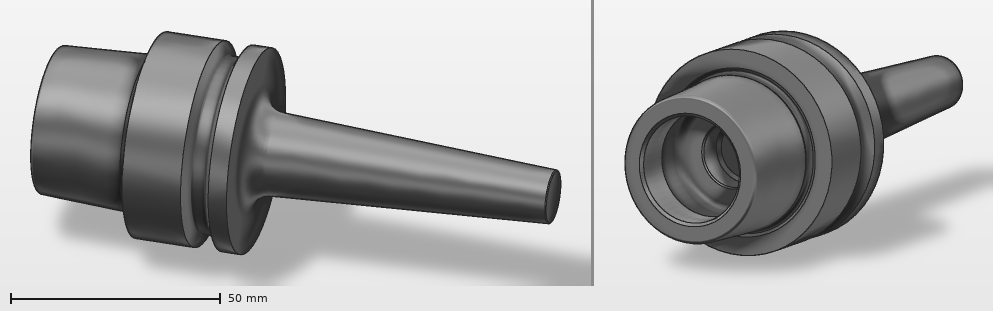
import cadquery as cq
import math

total_length = 124.9
shank_length = 25.0
flange_width = 26.0
flange_end = shank_length + flange_width

shank_radius = 19.1
shank_taper_end = 22.7
taper_rate = 1 / 20
shank_edge_fillet = 0.9

undercut_start = 23.5
undercut_radius = 18.9
undercut_fillet = 0.9
undercut_face_depth = 0.4
undercut_face_radius = 20.5

flange_radius = 25.0
groove_center = 43.0
groove_floor_width = 3.2
groove_top_width = 6.9
groove_floor_radius = 21.6
groove_fillet = 0.5

tip_radius = 6.5
nose_angle = math.radians(3)
nose_fillet = 5.5
tip_chamfer = 0.2

bore_radius = 13.0
bore_chamfer = 0.7
lip_length = 9.9
cavity_radius = 14.5
bore_depth = 21.1
floor_fillet = 2.6

hole_radius = 7.9
hole_chamfer = 0.4
hole_depth = 7.5
hole_floor_radius = 7.0


def shank_surface(x):
    """Radius of the tapered shank at station x."""
    return shank_radius - (shank_taper_end - x) * taper_rate


def nose_surface(x):
    """Radius of the tapered nose at station x."""
    return tip_radius + (total_length - x) * math.tan(nose_angle)


def arc_point(center, radius, angle):
    """Point on a circle in the profile plane."""
    return (center[0] + radius * math.cos(angle), center[1] + radius * math.sin(angle))


def groove_corner(side):
    """Wall end, middle and floor end of the groove floor round; side is -1 or 1 along X."""
    wall_run = (groove_top_width - groove_floor_width) / 2
    wall_slope = math.atan2(flange_radius - groove_floor_radius, wall_run)
    tangent_length = groove_fillet * math.tan(wall_slope / 2)
    center = (
        groove_center + side * (groove_floor_width / 2 - tangent_length),
        groove_floor_radius + groove_fillet,
    )
    floor_angle = -math.pi / 2
    return [
        arc_point(center, groove_fillet, floor_angle + side * turn)
        for turn in (wall_slope, wall_slope / 2, 0)
    ]


def outer_body():
    """Solid of revolution of the shank, flange and nose."""
    taper_normal = math.pi / 2 + math.atan(taper_rate)
    edge_center = (
        shank_edge_fillet,
        shank_surface(shank_edge_fillet) - shank_edge_fillet / math.sin(taper_normal),
    )
    edge_middle = arc_point(edge_center, shank_edge_fillet, (taper_normal + math.pi) / 2)
    edge_end = arc_point(edge_center, shank_edge_fillet, taper_normal)

    undercut_bottom = shank_length + undercut_face_depth
    undercut_center = (undercut_bottom - undercut_fillet, undercut_radius + undercut_fillet)
    undercut_middle = arc_point(undercut_center, undercut_fillet, -math.pi / 4)

    left_corner = groove_corner(-1)
    right_corner = groove_corner(1)

    nose_normal = math.pi / 2 - nose_angle
    nose_center_x = flange_end + nose_fillet
    nose_center = (nose_center_x, nose_surface(nose_center_x) + nose_fillet / math.sin(nose_normal))
    nose_start = math.pi
    nose_end = math.pi + nose_normal
    nose_middle = arc_point(nose_center, nose_fillet, (nose_start + nose_end) / 2)

    return (
        cq.Workplane("XY")
        .moveTo(0, 0)
        .lineTo(0, edge_center[1])
        .threePointArc(edge_middle, edge_end)
        .lineTo(shank_taper_end, shank_radius)
        .lineTo(undercut_start, undercut_radius)
        .lineTo(undercut_center[0], undercut_radius)
        .threePointArc(undercut_middle, (undercut_bottom, undercut_center[1]))
        .lineTo(shank_length, undercut_face_radius)
        .lineTo(shank_length, flange_radius)
        .lineTo(groove_center - groove_top_width / 2, flange_radius)
        .lineTo(*left_corner[0])
        .threePointArc(left_corner[1], left_corner[2])
        .lineTo(*right_corner[2])
        .threePointArc(right_corner[1], right_corner[0])
        .lineTo(groove_center + groove_top_width / 2, flange_radius)
        .lineTo(flange_end, flange_radius)
        .lineTo(flange_end, nose_center[1])
        .threePointArc(nose_middle, arc_point(nose_center, nose_fillet, nose_end))
        .lineTo(total_length - tip_chamfer, nose_surface(total_length - tip_chamfer))
        .lineTo(total_length, tip_radius - tip_chamfer)
        .lineTo(total_length, 0)
        .close()
        .revolve(360, (0, 0, 0), (1, 0, 0))
    )


def bore_cutter():
    """Stepped bore with an inner lip, a rounded floor and a central blind hole."""
    floor_center = (bore_depth - floor_fillet, cavity_radius - floor_fillet)
    hole_end = bore_depth + hole_depth
    hole_floor_chamfer = hole_radius - hole_floor_radius
    return (
        cq.Workplane("XY")
        .moveTo(0, 0)
        .lineTo(0, bore_radius + bore_chamfer)
        .lineTo(bore_chamfer, bore_radius)
        .lineTo(lip_length, bore_radius)
        .lineTo(lip_length, cavity_radius)
        .lineTo(floor_center[0], cavity_radius)
        .threePointArc(
            arc_point(floor_center, floor_fillet, math.pi / 4),
            (bore_depth, floor_center[1]),
        )
        .lineTo(bore_depth, hole_radius + hole_chamfer)
        .lineTo(bore_depth + hole_chamfer, hole_radius)
        .lineTo(hole_end - hole_floor_chamfer, hole_radius)
        .lineTo(hole_end, hole_floor_radius)
        .lineTo(hole_end, 0)
        .close()
        .revolve(360, (0, 0, 0), (1, 0, 0))
    )


result = outer_body().cut(bore_cutter())